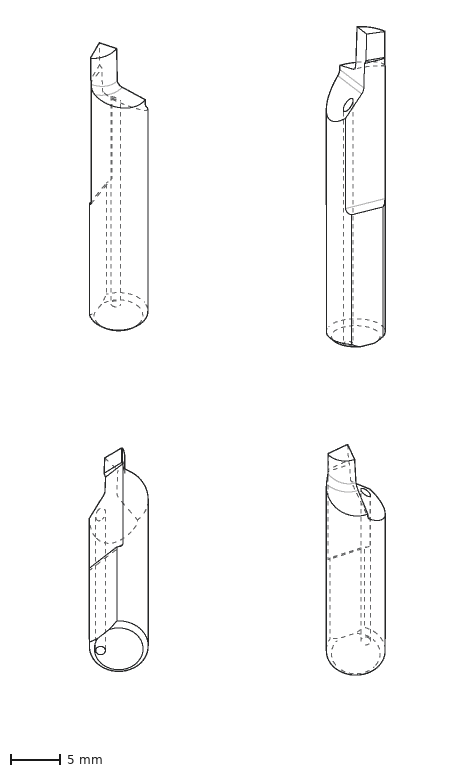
import cadquery as cq
import math

length = 35.0
shank_diameter = 6.0
shank_radius = shank_diameter / 2
bottom_chamfer = 0.52
margin = 7.0

clamp_flat_x = -2.35
relief_flat_x = -1.92
relief_start_z = 15.8
step_radius = 0.7

head_x_back = -2.17
head_x_front = -2.03
head_front_y = -2.2
head_bottom_z = 32.02
head_run_out = 0.42
tip_drop_angle = 8.0

neck_radius = 2.55
neck_x = -2.73
neck_y = 0.15
shoulder_z = 30.1
shoulder_angle = 14.0
shoulder_fillet = 0.7

rake_tip_y = -0.05
rake_foot_y = 0.18
ramp_foot_z = 28.52
ramp_end_z = 25.13
ramp_fillet = 1.05

coolant_radius = 0.5
coolant_x = -1.1
coolant_y = 1.5


def make_shank():
    shank = cq.Workplane("XY").circle(shank_radius).extrude(length)
    return shank.faces("<Z").chamfer(bottom_chamfer)


def make_shoulder_and_neck():
    """Oversized sloping block with a blended round neck on top."""
    slope_drop = margin * math.tan(math.radians(shoulder_angle))
    profile = [
        (-margin, 0),
        (margin, 0),
        (margin, shoulder_z - slope_drop),
        (-margin, shoulder_z + slope_drop),
    ]
    block = cq.Workplane("XZ").polyline(profile).close().extrude(margin, both=True)
    neck = cq.Workplane("XY").center(neck_x, neck_y).circle(neck_radius).extrude(length + margin)
    at_neck = cq.selectors.BoxSelector(
        (neck_x - neck_radius, neck_y - neck_radius, shoulder_z - margin),
        (neck_x + neck_radius, neck_y + neck_radius, shoulder_z + margin),
    )
    return block.union(neck).edges(at_neck).edges("%ELLIPSE").fillet(shoulder_fillet)


def make_rake_cut():
    """Material removed behind the neck, with a rounded foot and a ramp."""
    rake_slope = (rake_foot_y - rake_tip_y) / (length - ramp_foot_z)
    ramp_slope = (ramp_foot_z - ramp_end_z) / (shank_radius - rake_foot_y)
    top_z = length + margin
    profile = [
        (rake_tip_y - margin * rake_slope, top_z),
        (rake_foot_y, ramp_foot_z),
        (margin, ramp_foot_z - (margin - rake_foot_y) * ramp_slope),
        (margin, top_z),
    ]
    cut = cq.Workplane("YZ").polyline(profile).close().extrude(margin, both=True)
    foot = cq.selectors.NearestToPointSelector((0, rake_foot_y, ramp_foot_z))
    return cut.edges(foot).fillet(ramp_fillet)


def make_clamp_flat_cut():
    block = cq.Workplane("XY").box(margin, 2 * margin, length, centered=(True, True, False))
    return block.translate((clamp_flat_x - margin / 2, 0, 0))


def make_relief_cut():
    """Deeper flat between the rounded step and the cutting head."""
    step_depth = relief_flat_x - clamp_flat_x
    arc_center_x = relief_flat_x - step_radius
    step_height = math.sqrt(step_radius**2 - (step_radius - step_depth) ** 2)
    step_z = relief_start_z - step_height
    half_angle = math.asin(step_height / step_radius) / 2
    arc_middle = (
        arc_center_x + step_radius * math.cos(half_angle),
        relief_start_z - step_radius * math.sin(half_angle),
    )
    return (
        cq.Workplane("XZ")
        .moveTo(-margin, step_z)
        .lineTo(clamp_flat_x, step_z)
        .threePointArc(arc_middle, (relief_flat_x, relief_start_z))
        .lineTo(relief_flat_x, head_bottom_z - head_run_out)
        .lineTo(head_x_back, head_bottom_z)
        .lineTo(-margin, head_bottom_z)
        .close()
        .extrude(margin, both=True)
    )


def make_head_side_cut():
    """Clearance on the head: its -X side leans inward toward -Y."""
    lean = (head_x_front - head_x_back) / (rake_tip_y - head_front_y)
    profile = [
        (-margin, -margin),
        (head_x_back + lean * (rake_tip_y + margin), -margin),
        (head_x_back - lean * (margin - rake_tip_y), margin),
        (-margin, margin),
    ]
    height = length - relief_start_z
    return cq.Workplane("XY").workplane(offset=relief_start_z).polyline(profile).close().extrude(height)


def make_tip_cut():
    """Clearance on the tip: its top falls away toward -Y."""
    drop = margin * math.tan(math.radians(tip_drop_angle))
    profile = [
        (rake_tip_y, length),
        (rake_tip_y - margin, length - drop),
        (rake_tip_y - margin, length),
    ]
    return cq.Workplane("YZ").polyline(profile).close().extrude(margin, both=True)


def make_coolant_hole():
    return cq.Workplane("XY").center(coolant_x, coolant_y).circle(coolant_radius).extrude(length)


result = (
    make_shank()
    .intersect(make_shoulder_and_neck())
    .cut(make_rake_cut())
    .cut(make_clamp_flat_cut())
    .cut(make_relief_cut())
    .cut(make_head_side_cut())
    .cut(make_tip_cut())
    .cut(make_coolant_hole())
)